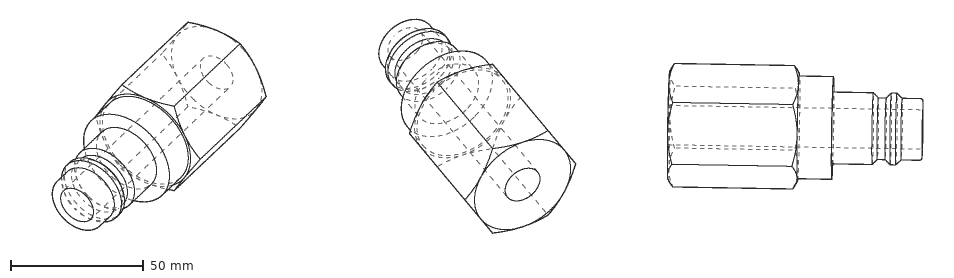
import cadquery as cq
import math

total_length = 96.0
tip_fillet = 1.0
rib_start = 7.9
rib_crest_start = 9.9
rib_crest_end = 12.0
rib_end = 13.9
shank_cone_start = 16.9
shank_start = 18.8
collar_start = 34.0
hex_start = 46.9

bore_diameter = 14.9
tip_diameter = 23.4
shank_diameter = 27.3
collar_diameter = 39.0
hex_across_flats = 41.0
hex_chamfer_angle = 30.0

hex_across_corners = hex_across_flats / math.cos(math.radians(30))
tip_radius = tip_diameter / 2
shank_radius = shank_diameter / 2
collar_radius = collar_diameter / 2
flat_radius = hex_across_flats / 2
corner_radius = hex_across_corners / 2


def revolve_about_y(points):
    """Revolve a closed (radius, y) outline about the Y axis."""
    return cq.Workplane("XY").polyline(points).close().revolve(360, (0, 0, 0), (0, 1, 0))


def make_plug():
    """Stepped plug with a rounded tip and a bevelled locking rib, plus the collar behind it."""
    plug = revolve_about_y([
        (0, 0),
        (tip_radius, 0),
        (tip_radius, rib_start),
        (shank_radius, rib_crest_start),
        (shank_radius, rib_crest_end),
        (tip_radius, rib_end),
        (tip_radius, shank_cone_start),
        (shank_radius, shank_start),
        (shank_radius, collar_start),
        (collar_radius, collar_start),
        (collar_radius, hex_start),
        (0, hex_start),
    ])
    return plug.faces("<Y").edges().fillet(tip_fillet)


def make_hex_body():
    """Hexagonal body with corners along X, conically chamfered at both ends."""
    prism = (
        cq.Workplane("XZ", origin=(0, hex_start, 0))
        .polygon(6, hex_across_corners)
        .extrude(hex_start - total_length)
    )
    chamfer_length = (corner_radius - flat_radius) * math.tan(math.radians(hex_chamfer_angle))
    chamfer_envelope = revolve_about_y([
        (0, hex_start),
        (flat_radius, hex_start),
        (corner_radius, hex_start + chamfer_length),
        (corner_radius, total_length - chamfer_length),
        (flat_radius, total_length),
        (0, total_length),
    ])
    return prism.intersect(chamfer_envelope)


def make_bore():
    """Cylinder for the bore passing through the whole part."""
    return cq.Workplane("XZ").circle(bore_diameter / 2).extrude(-total_length)


result = make_plug().union(make_hex_body()).cut(make_bore())